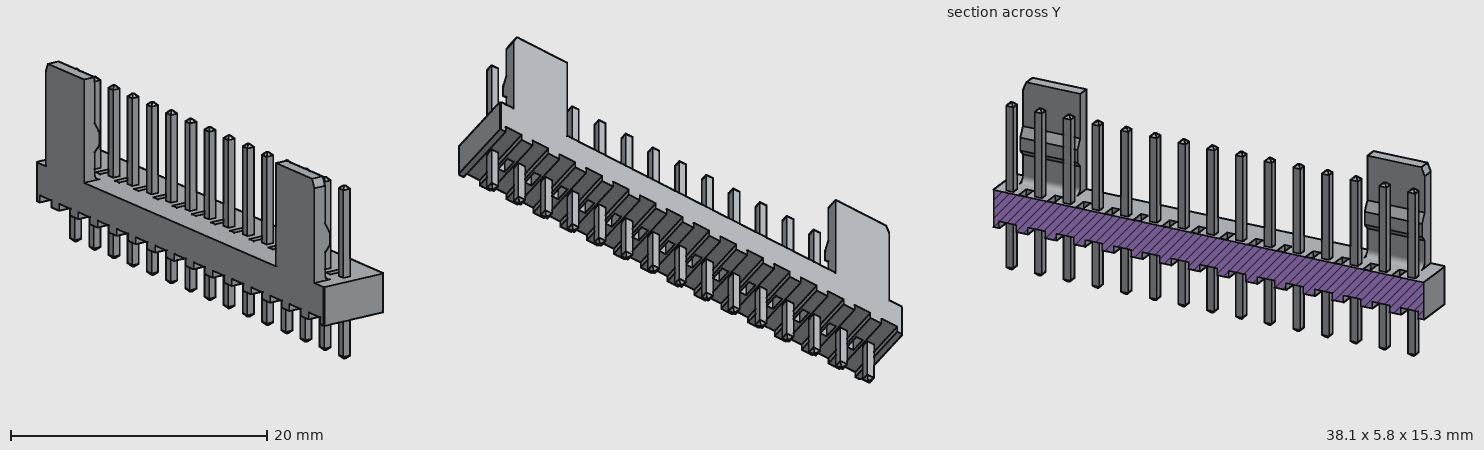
import cadquery as cq

pin_count = 15
pitch = 2.54
pin_xs = [(i - (pin_count - 1) / 2) * pitch for i in range(pin_count)]

base_length = pin_count * pitch
base_width = 5.8
base_height = 3.2
corner_chamfer = 0.1

relief_width = 1.5
relief_depth = 0.58
window_length_x = 0.6
window_length_y = 1.27

pin_side = 0.64
pin_top = 10.66
pin_bottom = -3.56
tip_chamfer = 0.25

latch_top = 11.7
latch_length = 2 * pitch
latch_offset = base_length / 2 - pitch / 2
latch_thickness = 1.03
latch_root_radius = 0.5
latch_chamfer_x = 0.3
latch_chamfer_z = 0.7

bump_height = 0.45
bump_start = 2.3
bump_crest_start = 2.8
bump_crest_end = 3.9
bump_end = 4.7


def make_base():
    base = cq.Workplane("XY").box(base_length, base_width, base_height, centered=(True, True, False))
    base = base.edges("|Z").chamfer(corner_chamfer)
    reliefs = (
        cq.Workplane("XY")
        .pushPoints([(x, 0) for x in pin_xs])
        .rect(relief_width, base_width)
        .extrude(relief_depth)
    )
    windows = (
        cq.Workplane("XY")
        .pushPoints([(x + pitch / 2, 0) for x in pin_xs[:-1]])
        .rect(window_length_x, window_length_y)
        .extrude(base_height)
    )
    return base.cut(reliefs).cut(windows)


def make_pin(x):
    pin = (
        cq.Workplane("XY")
        .workplane(offset=pin_bottom)
        .center(x, 0)
        .rect(pin_side, pin_side)
        .extrude(pin_top - pin_bottom)
    )
    return pin.faces("<Z or >Z").chamfer(tip_chamfer)


def make_left_latch():
    outer_y = -base_width / 2
    inner_y = outer_y + latch_thickness
    crest_y = inner_y + bump_height
    wall = (
        cq.Workplane("YZ")
        .workplane(offset=-latch_offset)
        .moveTo(outer_y, base_height)
        .lineTo(inner_y + latch_root_radius, base_height)
        .radiusArc((inner_y, base_height + latch_root_radius), latch_root_radius)
        .lineTo(inner_y, base_height + bump_start)
        .lineTo(crest_y, base_height + bump_crest_start)
        .lineTo(crest_y, base_height + bump_crest_end)
        .lineTo(inner_y, base_height + bump_end)
        .lineTo(inner_y, latch_top)
        .lineTo(outer_y, latch_top)
        .close()
        .extrude(latch_length)
    )
    corner = (
        cq.Workplane("XZ", origin=(0, base_width / 2, 0))
        .moveTo(-latch_offset, latch_top)
        .lineTo(-latch_offset + latch_chamfer_x, latch_top)
        .lineTo(-latch_offset, latch_top - latch_chamfer_z)
        .close()
        .extrude(base_width)
    )
    return wall.cut(corner)


left_latch = make_left_latch()
result = make_base().union(left_latch).union(left_latch.mirror("YZ"))
for pin_x in pin_xs:
    result = result.union(make_pin(pin_x))